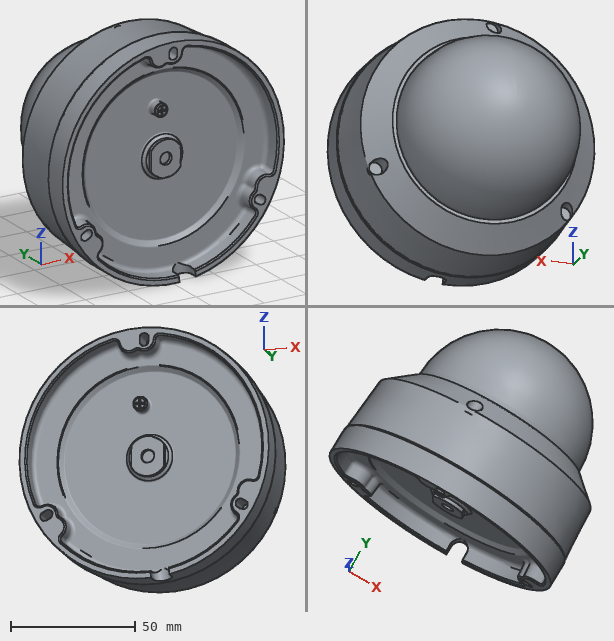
import cadquery as cq
import math


base_radius = 51.9
base_height = 11.2
rim_radius = 49.0
rim_chamfer = 0.6
wall_draft = 5.0
pocket_depth = 7.6
pocket_fillet = 2.0
sink_radius = 37.9
sink_floor_radius = 35.7
sink_depth = 2.0
sink_edge_fillet = 0.6
sink_floor = pocket_depth + sink_depth

lug_count = 3
lug_circle = 46.9
lug_radius = 4.6
slot_angle = 90.0
slot_width = 3.7
slot_length = 5.3
screw_angle = 97.5
notch_angle = screw_angle + 180.0
notch_radius = 3.8

collar_radius = 9.5
collar_top_radius = 8.2
collar_height = 2.0
collar_fillet = 0.7
plug_height = 1.8
plug_flats = 13.6
plug_hole_radius = 2.7

post_circle = 21.8
post_radius = 2.9
post_height = 4.5
post_fillet = 0.9
screw_head_height = 1.0
screw_head_chamfer = 0.6
shank_radius = 1.6
cross_length = 3.7
cross_width = 0.7
cross_depth = 0.7

seal_radius = 51.0
seal_inner_radius = 38.4
seal_height = 0.5

cover_base = base_height + seal_height
cover_base_radius = 51.6
shoulder_y = 35.1
shoulder_radius = 49.8
cover_top = 44.3
cover_top_radius = 39.3
cover_hole_circle = 46.7
cover_hole_radius = 3.1
cover_hole_floor = 33.2

dome_radius = 37.7
overall_height = 84.4
dome_centre = overall_height - dome_radius

collar_top = sink_floor - collar_height
post_top = sink_floor - post_height


def polar(radius, angle):
    """X and Z of a point at a radius and angle about the camera axis."""
    return radius * math.cos(math.radians(angle)), radius * math.sin(math.radians(angle))


def face_plane(y, point=(0.0, 0.0), angle=0.0):
    """Workplane facing -Y whose local X axis is turned by an angle from +X towards +Z."""
    x_axis, z_axis = polar(1.0, angle)
    return cq.Workplane(cq.Plane((point[0], y, point[1]), (x_axis, 0, z_axis), (0, -1, 0)))


def rod(radius, start, end, point=(0.0, 0.0)):
    """Cylinder along Y between two heights."""
    return face_plane(start, point, 90.0).circle(radius).extrude(start - end)


def turned(outline):
    """Solid turned about the Y axis from (radius, y) points."""
    return cq.Workplane("ZY").polyline(outline).close().revolve(360, (0, 0), (0, 1))


post_centre = polar(post_circle, screw_angle)


def lug_angles(first):
    """Angles of the equally spaced lugs, starting from the first."""
    return [first + i * 360.0 / lug_count for i in range(lug_count)]


def make_lug_half(angle):
    """Round-nosed lug that runs outward through the wall and widens towards the pocket floor."""
    straight = base_radius - lug_circle + lug_radius
    return (
        face_plane(0, polar(lug_circle + straight / 2, angle), angle)
        .slot2D(straight + 2 * lug_radius, 2 * lug_radius)
        .extrude(-pocket_depth, taper=-wall_draft)
    )


def make_pocket():
    """Drafted pocket in the mounting face, with its walls bent round the lugs."""
    floor_radius = rim_radius - pocket_depth * math.tan(math.radians(wall_draft))
    pocket = turned([(0, 0), (rim_radius, 0), (floor_radius, pocket_depth), (0, pocket_depth)])
    for angle in lug_angles(slot_angle) + lug_angles(screw_angle):
        pocket = pocket.cut(make_lug_half(angle))
    walls_and_floor = cq.selectors.BoxSelector(
        (-base_radius, pocket_depth / 4, -base_radius), (base_radius, base_height, base_radius)
    )
    return pocket.edges(walls_and_floor).fillet(pocket_fillet)


def cut_sink(base):
    """Sink the middle of the pocket floor behind a conical wall rounded along both its edges."""
    cone = turned([
        (0, pocket_depth),
        (sink_radius, pocket_depth),
        (sink_floor_radius, sink_floor),
        (0, sink_floor),
    ])
    circles_on_axis = cq.selectors.BoxSelector((-1, pocket_depth / 2, -1), (1, base_height - 0.1, 1))
    return base.cut(cone).edges("%CIRCLE").edges(circles_on_axis).fillet(sink_edge_fillet)


def make_notch():
    """Round-ended cable notch, cut radially through the wall from the mounting face."""
    start_x, start_z = polar(sink_radius, notch_angle)
    out_x, out_z = polar(1.0, notch_angle)
    plane = cq.Plane((start_x, 0, start_z), (-out_z, 0, out_x), (out_x, 0, out_z))
    length = base_radius - sink_radius + 1.0
    straight_height = pocket_depth - notch_radius
    round_end = cq.Workplane(plane).center(0, -straight_height).circle(notch_radius).extrude(length)
    straight = (
        cq.Workplane(plane)
        .center(0, -straight_height / 2)
        .rect(2 * notch_radius, straight_height)
        .extrude(length)
    )
    return round_end.union(straight)


def make_boss(radius, top_radius, height, fillet, centre):
    """Round boss standing out of the sunk floor, with a fillet at its foot."""
    top = sink_floor - height
    arc_inset = fillet * (1 - math.sqrt(0.5))
    return (
        cq.Workplane("ZY")
        .moveTo(0, sink_floor)
        .lineTo(radius + fillet, sink_floor)
        .threePointArc((radius + arc_inset, sink_floor - arc_inset), (radius, sink_floor - fillet))
        .lineTo(top_radius, top)
        .lineTo(0, top)
        .close()
        .revolve(360, (0, 0), (0, 1))
        .translate((centre[0], 0, centre[1]))
    )


def make_base():
    """Base with its pocket, lugs, slots, cable notch, plug collar and screw post."""
    base = rod(base_radius, 0, base_height).cut(make_pocket())
    rim = base.faces("<Y").val().innerWires()[0]
    base = base.newObject(rim.Edges()).chamfer(rim_chamfer)
    base = cut_sink(base).cut(make_notch())
    for angle in lug_angles(slot_angle):
        slot = face_plane(0, polar(lug_circle, angle), angle).slot2D(slot_length, slot_width)
        base = base.cut(slot.extrude(-base_height))
    collar = make_boss(collar_radius, collar_top_radius, collar_height, collar_fillet, (0, 0))
    post = make_boss(post_radius, post_radius, post_height, post_fillet, post_centre)
    shank_hole = rod(shank_radius, post_top, sink_floor, post_centre)
    return base.union(collar).union(post).cut(shank_hole)


def make_plug():
    """Plug on the collar: a disc with two flats and a round hole."""
    start = collar_top - plug_height
    flats = face_plane(start).rect(plug_flats, 2 * collar_radius).extrude(-plug_height)
    disc = rod(collar_top_radius, start, collar_top)
    return disc.intersect(flats).cut(rod(plug_hole_radius, start, collar_top))


def make_screw():
    """Cross-recessed screw with its head on the post and its shank inside it."""
    head_top = post_top - screw_head_height
    head = rod(post_radius, head_top, post_top, post_centre).faces("<Y").chamfer(screw_head_chamfer)
    screw = head.union(rod(shank_radius, post_top, sink_floor, post_centre))
    for angle in (0, 90):
        arm = face_plane(head_top, post_centre, angle).rect(cross_length, cross_width)
        screw = screw.cut(arm.extrude(-cross_depth))
    return screw


def make_seal():
    """Flat ring between the base and the cover, set in from their outer walls."""
    ring = face_plane(base_height).circle(seal_radius).circle(seal_inner_radius)
    return ring.extrude(-seal_height)


def make_cover():
    """Tapered cover with a conical shoulder and three screw holes parallel to the axis."""
    cover = turned([
        (0, cover_base),
        (cover_base_radius, cover_base),
        (shoulder_radius, shoulder_y),
        (cover_top_radius, cover_top),
        (0, cover_top),
    ])
    for angle in lug_angles(screw_angle):
        centre = polar(cover_hole_circle, angle)
        cover = cover.cut(rod(cover_hole_radius, cover_hole_floor, cover_top, centre))
    return cover


def make_dome():
    """Half ball on a short cylinder of the same radius."""
    slant = dome_radius * math.sqrt(0.5)
    return (
        cq.Workplane("ZY")
        .moveTo(0, cover_top)
        .lineTo(dome_radius, cover_top)
        .lineTo(dome_radius, dome_centre)
        .threePointArc((slant, dome_centre + slant), (0, overall_height))
        .close()
        .revolve(360, (0, 0), (0, 1))
    )


base = make_base()
plug = make_plug()
screw = make_screw()
seal = make_seal()
cover = make_cover()
dome = make_dome()

result = cq.Compound.makeCompound(
    [base.val(), plug.val(), screw.val(), seal.val(), cover.val(), dome.val()]
)